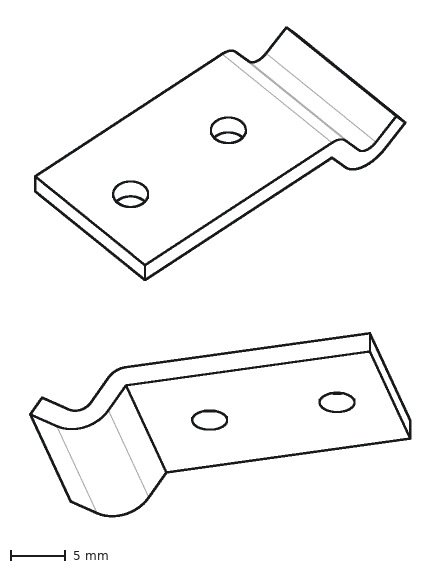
import cadquery as cq
import math

width = 15.0
length = 32.0
thickness = 2.0
drop = 4.0
plate_length = 22.98
web_angle = 56.0
lip_angle = 34.0
valley_inner_radius = 1.5
hole_diameter = 3.2
hole_positions = (5.0, 17.0)

valley_outer_radius = valley_inner_radius + thickness
top = drop + thickness
web = math.radians(web_angle)
lip = math.radians(lip_angle)

valley_y = plate_length + (
    valley_outer_radius + (drop - valley_outer_radius) * math.cos(web)
) / math.sin(web)
valley_z = valley_outer_radius


def point_around(center_y, center_z, radius, angle):
    """Point at an angle measured from +Z toward +Y."""
    return (center_y + radius * math.sin(angle), center_z + radius * math.cos(angle))


def valley_point(radius, tilt):
    """Point of the valley bend, tilted from its lowest point toward +Y."""
    return point_around(valley_y, valley_z, radius, math.pi - tilt)


def shoulder_point(angle):
    """Point of the shoulder bend, which is centred on the plate's lower corner."""
    return point_around(plate_length, drop, thickness, angle)


lip_start_y, lip_start_z = valley_point(valley_outer_radius, lip)
tip_low = (length, lip_start_z + (length - lip_start_y) * math.tan(lip))
tip_high = point_around(*tip_low, thickness, -lip)

strip = (
    cq.Workplane("YZ")
    .moveTo(0, drop)
    .lineTo(0, top)
    .lineTo(plate_length, top)
    .threePointArc(shoulder_point(web / 2), shoulder_point(web))
    .lineTo(*valley_point(valley_inner_radius, -web))
    .threePointArc(valley_point(valley_inner_radius, 0), valley_point(valley_inner_radius, lip))
    .lineTo(*tip_high)
    .lineTo(*tip_low)
    .lineTo(lip_start_y, lip_start_z)
    .threePointArc(valley_point(valley_outer_radius, 0), valley_point(valley_outer_radius, -web))
    .lineTo(plate_length, drop)
    .close()
    .extrude(width / 2, both=True)
)

holes = (
    cq.Workplane("XY")
    .workplane(offset=drop)
    .pushPoints([(0, y) for y in hole_positions])
    .circle(hole_diameter / 2)
    .extrude(thickness)
)

result = strip.cut(holes)